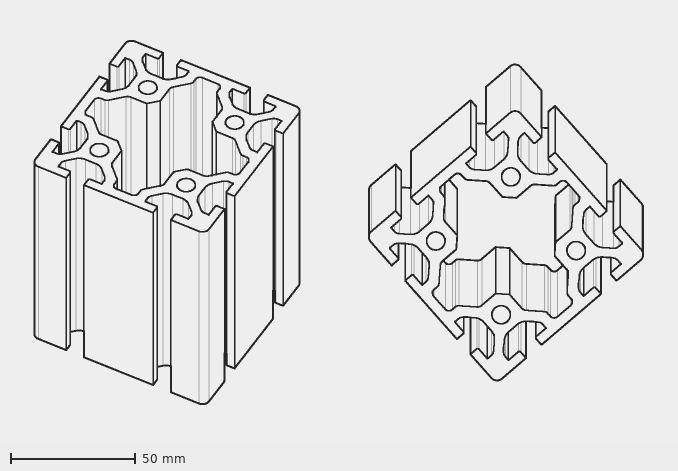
import cadquery as cq

width = 80.0
length = 100.0
corner_radius = 3.0
half = width / 2
slot_pitch = width / 2

slot_opening = 8.2
lip_thickness = 4.0
lip_edge_radius = 0.6
slot_inner_width = 20.0
slot_shoulder_depth = 7.2
slot_depth = 12.7
slot_floor_radius = 5.0
slot_shoulder_radius = 3.0

core_diameter = 7.4

cavity_wall = 4.5
cavity_mouth_half = 5.5
cavity_mouth_depth = 9.0
cavity_corner_radius = 2.0
cavity_mouth_radius = 2.0
core_wall = 8.0
core_chamfer = 4.0
core_corner_radius = 2.5

match_tolerance = 0.01

slot_side = slot_inner_width / 2
slot_mouth = slot_opening / 2
slot_floor_half = slot_side - (slot_depth - slot_shoulder_depth)
slot_offset = slot_pitch / 2
core_inner = slot_offset - core_wall


def prism(points):
    """Extrude a closed outline over the full length."""
    return cq.Workplane("XY").polyline(points).close().extrude(length)


def round_edges(body, points, radius):
    """Round the vertical edges of a prism that stand on the given points."""
    middles = [(x, y, length / 2) for x, y in points]
    edges = body.edges("|Z").filter(
        lambda edge: any((edge.Center() - cq.Vector(middle)).Length < match_tolerance for middle in middles)
    )
    return edges.fillet(radius)


def mirrored(right_points):
    """Complete an outline that is symmetric about the Y axis."""
    return right_points + [(-x, y) for x, y in reversed(right_points)]


def make_slot():
    """T-slot centred on X = 0 that opens through the face at Y = half."""
    lip_edge = (slot_mouth, half - lip_thickness)
    shoulder = (slot_side, half - slot_shoulder_depth)
    floor = (slot_floor_half, half - slot_depth)
    slot = prism(mirrored([
        (slot_mouth, half),
        lip_edge,
        (slot_side, half - lip_thickness),
        shoulder,
        floor,
    ]))
    slot = round_edges(slot, mirrored([lip_edge]), lip_edge_radius)
    slot = round_edges(slot, mirrored([shoulder]), slot_shoulder_radius)
    return round_edges(slot, mirrored([floor]), slot_floor_radius)


def eight_copies(x, y):
    """Repeat a point by swapping its coordinates and changing their signs."""
    return [(a * i, b * j) for a, b in ((x, y), (y, x)) for i in (1, -1) for j in (1, -1)]


def make_cavity():
    """Cross-shaped cavity whose four inward corners leave metal around the screw cores."""
    wall = half - cavity_wall
    mouth = half - cavity_mouth_depth
    flare_end = mouth - (core_inner - cavity_mouth_half)
    eighth = [
        (cavity_mouth_half, wall),
        (cavity_mouth_half, mouth),
        (core_inner, flare_end),
        (core_inner, core_inner + core_chamfer),
    ]
    quarter = eighth + [(y, x) for x, y in reversed(eighth)]
    right_side = quarter + [(x, -y) for x, y in reversed(quarter)]
    cavity = prism(mirrored(right_side))
    cavity = round_edges(cavity, eight_copies(cavity_mouth_half, wall), cavity_corner_radius)
    cavity = round_edges(cavity, eight_copies(cavity_mouth_half, mouth), cavity_mouth_radius)
    return round_edges(cavity, eight_copies(core_inner, flare_end), core_corner_radius)


result = cq.Workplane("XY").rect(width, width).extrude(length).edges("|Z").fillet(corner_radius)

slot = make_slot()
side_angle = 90
for side in range(4):
    for offset in (-slot_offset, slot_offset):
        placed_slot = slot.translate((offset, 0, 0)).rotate((0, 0, 0), (0, 0, 1), side * side_angle)
        result = result.cut(placed_slot)

result = result.cut(make_cavity())

core_centres = cq.Workplane("XY").rarray(slot_pitch, slot_pitch, 2, 2)
cores = core_centres.circle(core_diameter / 2).extrude(length)
result = result.cut(cores)